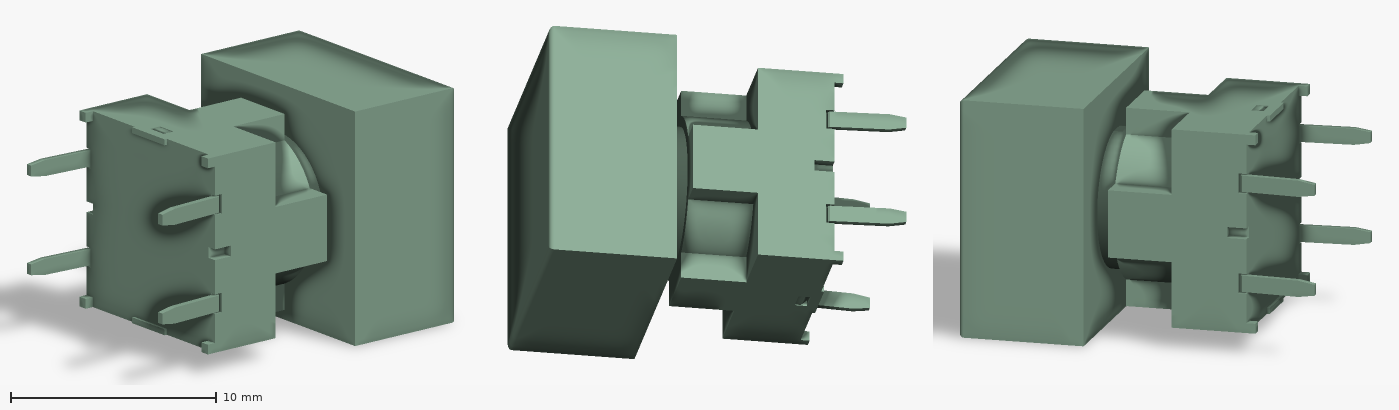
import cadquery as cq


CAP_FRONT_Y = 17.78
CAP_BACK_Y = 11.47
HOUSING_FRONT_Y = 10.5
SHELF_Y = 7.29
JOINT_Y = 4.5
BASE_BOTTOM_Y = 3.5
PIN_TIP_Y = 0.0

CAP_SIDE = 11.98
CAP_EDGE_RADIUS = 0.25
PLUNGER_DIAMETER = 7.0
FLAT_WIDTH = 1.05
FLAT_LENGTH = 0.46
FLAT_HEIGHT = 3.45

BODY_SIDE = 10.01
BODY_HALF = BODY_SIDE / 2
ARM_WIDTH = 3.4
BARREL_DIAMETER = 8.07

TONGUE_WIDTH = 2.52
TONGUE_THICKNESS = 0.3
TONGUE_END_Y = 3.36
WINDOW_WIDTH = FLAT_WIDTH
WINDOW_LENGTH = 0.6
CATCH_LAND = WINDOW_LENGTH / 2
CATCH_RECESS = 0.04

FOOT_SIDE = 0.5
FOOT_HEIGHT = 0.45
KEYWAY_WIDTH = 0.55
KEYWAY_DEPTH = FOOT_SIDE
POCKET_WIDTH = 1.0
POCKET_DEPTH = 0.3
POCKET_TOP_Y = 3.93

PIN_Z = 2.52
PIN_WIDTH = 0.82
PIN_TIP_WIDTH = 0.55
PIN_THICKNESS = 0.32
PIN_TOP_Y = 3.82
PIN_TAPER_Y = 0.82
PIN_SPLAY = 0.25
PIN_BEVEL = 0.09

SIDES = (-1, 1)


def block(x_size, z_size, y_start, y_end, x=0.0, z=0.0):
    """Box centred on (x, z) that spans y_start to y_end."""
    length = y_end - y_start
    return cq.Workplane("XY").box(x_size, length, z_size).translate((x, y_start + length / 2, z))


def disc(diameter, y_start, y_end):
    """Cylinder on the Y axis that spans y_start to y_end."""
    return cq.Workplane("XZ", origin=(0, y_start, 0)).circle(diameter / 2).extrude(y_start - y_end)


def make_cap():
    """Square cap with rounded front edges."""
    cap = block(CAP_SIDE, CAP_SIDE, CAP_BACK_Y, CAP_FRONT_Y)
    return cap.faces(">Y").edges().fillet(CAP_EDGE_RADIUS)


def make_plunger():
    """Round neck between housing and cap, with a short flat above and below."""
    plunger = disc(PLUNGER_DIAMETER, HOUSING_FRONT_Y, CAP_BACK_Y)
    for side in SIDES:
        cut_height = PLUNGER_DIAMETER / 2
        cutter_z = side * (FLAT_HEIGHT + cut_height / 2)
        plunger = plunger.cut(
            block(FLAT_WIDTH, cut_height, CAP_BACK_Y - FLAT_LENGTH, CAP_BACK_Y, z=cutter_z)
        )
    return plunger


def make_housing():
    """Square skirt, then a cross with a barrel in its corners, and two windowed tongues."""
    housing = block(BODY_SIDE, BODY_SIDE, JOINT_Y, SHELF_Y)
    housing = housing.union(block(BODY_SIDE, ARM_WIDTH, SHELF_Y, HOUSING_FRONT_Y))
    housing = housing.union(block(ARM_WIDTH, BODY_SIDE, SHELF_Y, HOUSING_FRONT_Y))
    housing = housing.union(disc(BARREL_DIAMETER, SHELF_Y, HOUSING_FRONT_Y))
    for side in SIDES:
        tongue_z = side * (BODY_HALF - TONGUE_THICKNESS / 2)
        tongue = block(TONGUE_WIDTH, TONGUE_THICKNESS, TONGUE_END_Y, JOINT_Y, z=tongue_z)
        window = block(WINDOW_WIDTH, TONGUE_THICKNESS, JOINT_Y - WINDOW_LENGTH, JOINT_Y, z=tongue_z)
        housing = housing.union(tongue.cut(window))
    return housing


def make_catch(side):
    """Catch that fills half of a tongue window and slopes down through the other half."""
    land_z = side * (BODY_HALF - CATCH_RECESS)
    root_z = side * (BODY_HALF - TONGUE_THICKNESS)
    profile = [
        (JOINT_Y, root_z),
        (JOINT_Y, land_z),
        (JOINT_Y - CATCH_LAND, land_z),
        (JOINT_Y - WINDOW_LENGTH, root_z),
    ]
    return cq.Workplane("YZ").polyline(profile).close().extrude(WINDOW_WIDTH / 2, both=True)


def make_base():
    """Square plate with corner feet, tongue recesses with catches, keyways and pin pockets."""
    base = block(BODY_SIDE, BODY_SIDE, BASE_BOTTOM_Y, JOINT_Y)
    foot_offset = BODY_HALF - FOOT_SIDE / 2
    for x_side in SIDES:
        for z_side in SIDES:
            base = base.union(
                block(
                    FOOT_SIDE, FOOT_SIDE, BASE_BOTTOM_Y - FOOT_HEIGHT, BASE_BOTTOM_Y,
                    x=x_side * foot_offset, z=z_side * foot_offset,
                )
            )
    for side in SIDES:
        recess_z = side * (BODY_HALF - TONGUE_THICKNESS / 2)
        base = base.cut(block(TONGUE_WIDTH, TONGUE_THICKNESS, BASE_BOTTOM_Y, JOINT_Y, z=recess_z))
        base = base.union(make_catch(side))
        keyway_x = side * (BODY_HALF - KEYWAY_DEPTH / 2)
        base = base.cut(block(KEYWAY_DEPTH, KEYWAY_WIDTH, BASE_BOTTOM_Y, JOINT_Y, x=keyway_x))
        pocket_x = side * (BODY_HALF - POCKET_DEPTH / 2)
        for z in (-PIN_Z, PIN_Z):
            base = base.cut(
                block(POCKET_DEPTH, POCKET_WIDTH, BASE_BOTTOM_Y, POCKET_TOP_Y, x=pocket_x, z=z)
            )
    return base


def make_pin(side, z):
    """Flat pin that leans outward to a tapered tip, its top against the inner wall of a pocket."""
    inner_top_x = BODY_HALF - POCKET_DEPTH
    outer_top_x = inner_top_x + PIN_THICKNESS
    lean_per_length = PIN_SPLAY / (PIN_TOP_Y - PIN_TIP_Y)
    lean_profile = [
        (side * inner_top_x, PIN_TOP_Y),
        (side * (outer_top_x - PIN_BEVEL), PIN_TOP_Y),
        (side * (outer_top_x + PIN_BEVEL * lean_per_length), PIN_TOP_Y - PIN_BEVEL),
        (side * (outer_top_x + PIN_SPLAY), PIN_TIP_Y),
        (side * (inner_top_x + PIN_SPLAY), PIN_TIP_Y),
    ]
    leaning_strip = (
        cq.Workplane("XY").polyline(lean_profile).close().extrude(PIN_WIDTH / 2, both=True)
    )
    half_width = PIN_WIDTH / 2
    half_tip = PIN_TIP_WIDTH / 2
    width_profile = [
        (PIN_TOP_Y, -half_width),
        (PIN_TOP_Y, half_width),
        (PIN_TAPER_Y, half_width),
        (PIN_TIP_Y, half_tip),
        (PIN_TIP_Y, -half_tip),
        (PIN_TAPER_Y, -half_width),
    ]
    tapered_plate = cq.Workplane("YZ").polyline(width_profile).close().extrude(BODY_SIDE, both=True)
    return leaning_strip.intersect(tapered_plate).translate((0, 0, z))


cap = make_cap().solids()
plunger = make_plunger().solids()
housing = make_housing().solids()
base = make_base().solids()
pins = [make_pin(side, z).solids().val() for side in SIDES for z in (-PIN_Z, PIN_Z)]

result = cq.Compound.makeCompound([cap.val(), plunger.val(), housing.val(), base.val(), *pins])